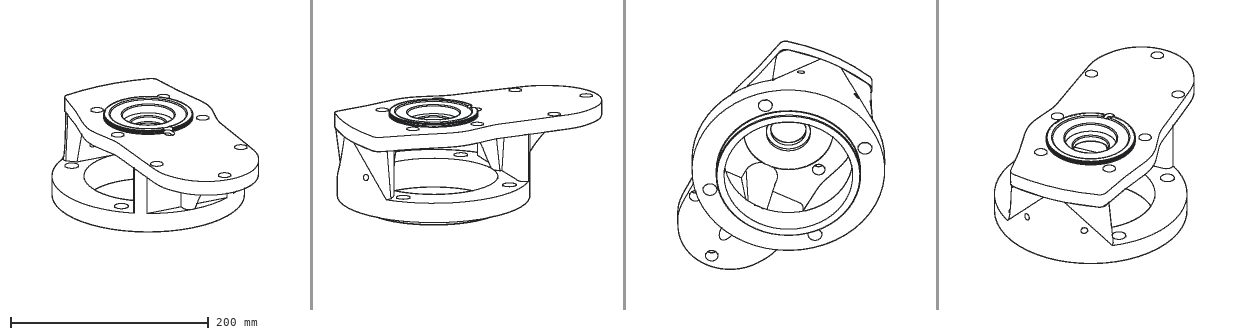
import cadquery as cq
import math

spigot_height = 10.0
flange_thickness = 20.5
leg_height = 49.7
plate_thickness = 15.0
boss_height = 4.0
flange_bottom = spigot_height
flange_top = flange_bottom + flange_thickness
plate_bottom = flange_top + leg_height
plate_top = plate_bottom + plate_thickness
boss_top = plate_top + boss_height

flange_radius = 97.5
spigot_radius = 73.0
spigot_chamfer = 0.8
spigot_relief_width = 1.0
spigot_relief_depth = 0.8
flange_bore_radius = 65.0
flange_hole_diameter = 14.0
flange_holes = [(-59.0, 56.5), (57.2, 59.7)]

plate_left = -94.0
plate_right = 181.45
plate_corner_start = (-88.7, 45.2)
plate_corner_middle = (-86.8, 50.0)
plate_corner_end = (-82.3, 52.5)
plate_flank = [(-48.0, 58.3), (-14.0, 66.5), (0.0, 67.8), (14.0, 65.8), (40.5, 58.5), (55.8, 57.5),
               (83.7, 57.0), (115.8, 56.3), (138.5, 53.5), (156.0, 45.2)]
plate_corner_slope = (1.0, 0.17)
plate_end_slope = (1.0, -0.6)
plate_hole_diameter = 12.5
plate_holes = [(-40.0, 37.7), (26.8, 48.3), (112.0, 47.7)]
plate_end_hole_x = 169.3

boss_radius = 45.2
boss_chamfer = 0.8
boss_underside_depth = 1.0
boss_groove_width = 1.7
boss_groove_depth = 1.0
recess_radius = 39.5
recess_depth = 1.0
bearing_radius = 26.2
bearing_chamfer = 1.0
bearing_floor = 88.7
shaft_radius = 17.9
shaft_chamfer = 1.0
shaft_bottom = 82.5
shaft_relief_radius = 22.3

pocket_x = 45.5
pocket_length = 14.5
pocket_width = 9.8
pocket_depth = 2.2
pocket_taper = 45

leg_foot_corner = [(-65.3, 47.5), (-72.8, 56.3), (-74.8, 57.0), (-76.7, 57.2)]
leg_foot_half_width = 57.7
leg_foot_crest_x = -64.7
leg_head_corner = [(-62.0, 40.5), (-75.3, 52.7), (-84.8, 50.0), (-88.7, 44.4)]
leg_head_rim_end = (-93.7, 11.5)
leg_head_crest_x = -45.5
leg_hole_diameter = 6.0
leg_hole_y = 31.5
leg_hole_z = 48.3

wall_inner_x = 71.5
wall_thickness = 14.8
wall_half_width = 56.3
wall_fillet = 7.3
gusset_bottom_half_width = 9.8
gusset_top_half_width = 16.7
gusset_bottom_flank_x = 69.2
gusset_top_flank_x = 60.8
gusset_bottom_x = 64.7
gusset_top_x = 44.0
rib_thickness = 13.5
rib_fillet = 6.5
rib_curve_middle = (116.0, 56.3)
rib_tip_x = 147.3


def mirrored(point):
    return (point[0], -point[1])


def disc(radius, bottom, top):
    return cq.Workplane("XY").workplane(offset=bottom).circle(radius).extrude(top - bottom)


def hole_cutter(points, diameter, bottom, top):
    return (
        cq.Workplane("XY").workplane(offset=bottom)
        .pushPoints(points).circle(diameter / 2).extrude(top - bottom)
    )


def both_sides(points):
    return points + [mirrored(p) for p in points]


def groove_ring(radius, depth, bottom, width):
    return disc(radius + depth, bottom, bottom + width).cut(disc(radius - depth, bottom, bottom + width))


def base_flange():
    relief_bottom = flange_bottom - spigot_relief_width
    relief_radius = spigot_radius - spigot_relief_depth
    base = (
        cq.Workplane("XZ")
        .moveTo(flange_bore_radius, 0)
        .lineTo(spigot_radius - spigot_chamfer, 0)
        .lineTo(spigot_radius, spigot_chamfer)
        .lineTo(spigot_radius, relief_bottom)
        .lineTo(relief_radius, relief_bottom)
        .lineTo(relief_radius, flange_bottom)
        .lineTo(flange_radius, flange_bottom)
        .lineTo(flange_radius, flange_top)
        .lineTo(flange_bore_radius, flange_top)
        .close().revolve(360, (0, 0, 0), (0, 1, 0))
    )
    return base.cut(hole_cutter(both_sides(flange_holes), flange_hole_diameter, flange_bottom, flange_top))


def crown_middle(tip_x, end):
    """Middle of the arc from the tip on the X axis to its end, square to the axis at the tip."""
    end_x, end_y = end
    center_x = (tip_x**2 - end_x**2 - end_y**2) / (2 * (tip_x - end_x))
    radius = tip_x - center_x
    half_angle = math.asin(end_y / radius) / 2
    return (center_x + radius * math.cos(half_angle), radius * math.sin(half_angle))


def top_plate():
    left_tip = (plate_left, 0)
    right_tip = (plate_right, 0)
    plate = (
        cq.Workplane("XY").workplane(offset=plate_bottom)
        .moveTo(*left_tip)
        .threePointArc(crown_middle(plate_left, plate_corner_start), plate_corner_start)
        .threePointArc(plate_corner_middle, plate_corner_end)
        .spline(plate_flank, tangents=[plate_corner_slope, plate_end_slope], includeCurrent=True)
        .threePointArc(crown_middle(plate_right, plate_flank[-1]), right_tip)
        .mirrorX().extrude(plate_thickness)
    )
    holes = both_sides(plate_holes) + [(plate_end_hole_x, 0)]
    return plate.cut(hole_cutter(holes, plate_hole_diameter, plate_bottom, plate_top))


def leg_section(sketch, corner, crest_x, rim_x):
    """Closed outline of the left leg at one height, with a crest inside and the rim arc outside."""
    inner, end, bend, shoulder, rim_end = corner
    return (
        sketch.moveTo(*mirrored(inner))
        .lineTo(*mirrored(end))
        .threePointArc(mirrored(bend), mirrored(shoulder))
        .lineTo(*mirrored(rim_end))
        .threePointArc((rim_x, 0), rim_end)
        .lineTo(*shoulder)
        .threePointArc(bend, end)
        .lineTo(*inner)
        .threePointArc((crest_x, 0), mirrored(inner))
        .close()
    )


def left_leg():
    foot_rim_end = (-math.sqrt(flange_radius**2 - leg_foot_half_width**2), leg_foot_half_width)
    sketch = cq.Workplane("XY").workplane(offset=flange_top)
    sketch = leg_section(sketch, leg_foot_corner + [foot_rim_end], leg_foot_crest_x, -flange_radius)
    sketch = sketch.workplane(offset=leg_height)
    sketch = leg_section(sketch, leg_head_corner + [leg_head_rim_end], leg_head_crest_x, plate_left)
    leg = sketch.loft(ruled=True)
    holes = (
        cq.Workplane("YZ").workplane(offset=-flange_radius)
        .pushPoints([(-leg_hole_y, leg_hole_z), (leg_hole_y, leg_hole_z)])
        .circle(leg_hole_diameter / 2).extrude(flange_radius)
    )
    return leg.cut(holes)


def gusset_section(sketch, half_width, flank_x, crest_x):
    """Outline of the gusset at one height: straight flanks and a round crest."""
    back_x = wall_inner_x + wall_thickness / 2
    return (
        sketch.moveTo(back_x, -half_width)
        .lineTo(flank_x, -half_width)
        .threePointArc((crest_x, 0), (flank_x, half_width))
        .lineTo(back_x, half_width)
        .close()
    )


def right_leg():
    wall_x = wall_inner_x + wall_thickness / 2
    wall = (
        cq.Workplane("XY").workplane(offset=flange_top).center(wall_x, 0)
        .rect(wall_thickness, 2 * wall_half_width).extrude(leg_height)
        .edges("|Z and <X").fillet(wall_fillet)
        .intersect(disc(flange_radius, flange_top, plate_bottom))
    )
    gusset = cq.Workplane("XY").workplane(offset=flange_top)
    gusset = gusset_section(gusset, gusset_bottom_half_width, gusset_bottom_flank_x, gusset_bottom_x)
    gusset = gusset.workplane(offset=leg_height)
    gusset = gusset_section(gusset, gusset_top_half_width, gusset_top_flank_x, gusset_top_x)
    gusset = gusset.loft(ruled=True)
    rib = (
        cq.Workplane("XZ").workplane(offset=-rib_thickness / 2)
        .moveTo(wall_x, flange_top)
        .lineTo(flange_radius, flange_top)
        .threePointArc(rib_curve_middle, (rib_tip_x, plate_bottom))
        .lineTo(wall_x, plate_bottom)
        .close().extrude(rib_thickness)
    )
    rib = rib.edges(cq.selectors.RadiusNthSelector(0)).fillet(rib_fillet)
    return wall.union(gusset).union(rib)


def bearing_boss(body):
    boss_bottom = plate_bottom - boss_underside_depth
    body = body.union(disc(boss_radius, boss_bottom, boss_top).faces(">Z").chamfer(boss_chamfer))
    groove_bottom = plate_top + (boss_height - boss_groove_width) / 2
    body = body.cut(groove_ring(boss_radius, boss_groove_depth, groove_bottom, boss_groove_width))

    recess_floor = boss_top - recess_depth
    bore = (
        cq.Workplane("XZ")
        .moveTo(0, boss_bottom)
        .lineTo(shaft_relief_radius, boss_bottom)
        .lineTo(shaft_relief_radius, shaft_bottom)
        .lineTo(shaft_radius, shaft_bottom)
        .lineTo(shaft_radius, bearing_floor - shaft_chamfer)
        .lineTo(shaft_radius + shaft_chamfer, bearing_floor)
        .lineTo(bearing_radius, bearing_floor)
        .lineTo(bearing_radius, recess_floor - bearing_chamfer)
        .lineTo(bearing_radius + bearing_chamfer, recess_floor)
        .lineTo(recess_radius - recess_depth, recess_floor)
        .lineTo(recess_radius, boss_top)
        .lineTo(0, boss_top)
        .close().revolve(360, (0, 0, 0), (0, 1, 0))
    )
    return body.cut(bore)


def key_pocket():
    pocket = cq.Workplane("XY").workplane(offset=plate_top).center(pocket_x, 0)
    upper = pocket.slot2D(pocket_length, pocket_width).extrude(boss_height)
    lower = pocket.slot2D(pocket_length, pocket_width).extrude(-pocket_depth, taper=pocket_taper)
    return upper.union(lower)


result = base_flange().union(left_leg()).union(right_leg()).union(top_plate())
result = bearing_boss(result).cut(key_pocket())